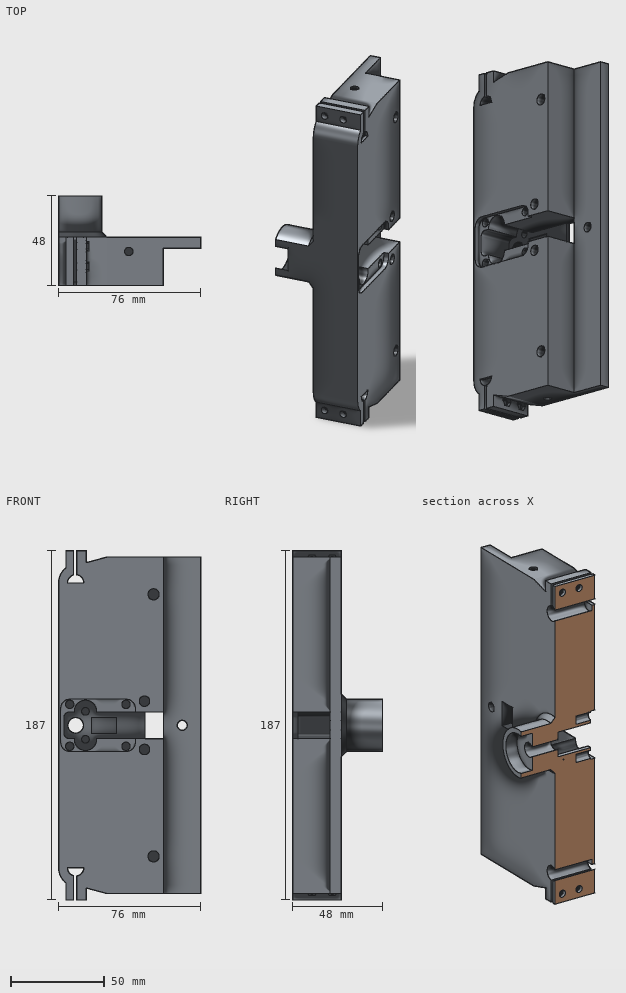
import cadquery as cq
import math


length = 187.0
width = 76.0
body_width = 56.0
body_depth = 26.0
flange_front = 20.0
shoulder_z = 90.1
slope_end_x = 26.0
slope_foot_z = 87.1

ear_left_x = 4.0
ear_right_x = 15.0
ear_foot_z = 84.3
slit_left_x = 8.0
slit_right_x = 9.7
clamp_bore_radius = 4.3
clamp_bore_z = 76.3
clamp_lip = 2.0
clamp_screw_radius = 1.9
clamp_screw_z = 88.5
clamp_screw_ys = (10.3, 21.1)
nut_corner_diameter = 6.2
nut_seat_x = 12.5
nut_pocket_end_x = 16.3

axis_x = 9.2
boss_radius = 14.0
boss_end_y = 48.0
boss_cone = 2.8
boss_bore_radius = 11.2
boss_bore_depth = 7.3
shaft_radius = 4.1

cover_left_x = 1.1
cover_right_x = 41.1
cover_half_height = 14.0
cover_corner = 5.0
cover_depth = 2.8
cover_screw_xs = (6.0, 36.0)
cover_screw_z = 11.2
cover_screw_radius = 2.2
cover_screw_depth = 9.3

slot_left_x = 2.8
slot_half_height = 7.1
slot_corner = 3.0
slot_floor_y = 24.0
window_left_x = 46.4
lobe_x = 14.4
lobe_z = 7.5
lobe_radius = 6.0
lobe_screw_radius = 2.0
lobe_screw_depth = 9.3
floor_pocket_left_x = 17.8
floor_pocket_right_x = 31.0
floor_pocket_height = 8.6
floor_pocket_depth = 1.0

inner_mount = (46.0, 12.9)
inner_mount_radius = 2.8
outer_mount = (50.8, 70.1)
outer_mount_radius = 3.0
mount_depth = 15.0
flange_hole_x = 66.2
flange_hole_radius = 2.6
end_hole_x = 37.5
end_hole_y = 18.3
end_hole_radius = 2.2

SIDES = (1, -1)


def front_plane(y=0.0):
    """Sketch plane at depth y: local x is X, local y is Z, normal along -Y."""
    return cq.Workplane("XZ", origin=(0, y, 0))


def block(x_range, y_range, z_range):
    (x0, x1), (y0, y1), (z0, z1) = x_range, y_range, z_range
    return cq.Workplane("XY").box(x1 - x0, y1 - y0, z1 - z0, centered=False).translate((x0, y0, z0))


def cylinder_y(x, z, radius, y_start, y_end):
    return front_plane(y_start).center(x, z).circle(radius).extrude(y_start - y_end)


def cylinder_x(y, z, radius, x_start, x_end):
    return cq.Workplane("YZ", origin=(x_start, y, z)).circle(radius).extrude(x_end - x_start)


def upper_half_body():
    """Body above Z = 0 with its clamp ear; the ear foot flows into the flat side by an arc."""
    arc_height = ear_foot_z - clamp_bore_z
    arc_radius = (ear_left_x**2 + arc_height**2) / (2 * ear_left_x)
    half_angle = math.asin(arc_height / arc_radius) / 2
    arc_middle = (
        arc_radius * (1 - math.cos(half_angle)),
        clamp_bore_z + arc_radius * math.sin(half_angle),
    )
    outline = (
        front_plane()
        .moveTo(0, 0)
        .lineTo(0, clamp_bore_z)
        .threePointArc(arc_middle, (ear_left_x, ear_foot_z))
        .lineTo(ear_left_x, length / 2)
        .lineTo(ear_right_x, length / 2)
        .lineTo(ear_right_x, slope_foot_z)
        .lineTo(slope_end_x, shoulder_z)
        .lineTo(width, shoulder_z)
        .lineTo(width, 0)
        .close()
    )
    half = outline.extrude(-body_depth)
    return half.cut(block((body_width, width), (0, flange_front), (0, shoulder_z)))


def clamp_cuts():
    """Slit, bore, and screw holes with nut pockets of the upper clamp."""
    bore = cylinder_y(axis_x, clamp_bore_z, clamp_bore_radius, 0, body_depth)
    lip = block((0, ear_right_x), (0, clamp_lip), (clamp_bore_z - clamp_bore_radius, clamp_bore_z))
    cuts = bore.cut(lip)
    cuts = cuts.union(block((slit_left_x, slit_right_x), (0, body_depth), (clamp_bore_z, length / 2)))
    for y in clamp_screw_ys:
        nut_pocket = (
            cq.Workplane("YZ", origin=(nut_seat_x, y, clamp_screw_z))
            .polygon(6, nut_corner_diameter)
            .extrude(nut_pocket_end_x - nut_seat_x)
        )
        cuts = cuts.union(cylinder_x(y, clamp_screw_z, clamp_screw_radius, 0, ear_right_x))
        cuts = cuts.union(nut_pocket)
    return cuts


def boss():
    """Boss with a conical foot, turned about the shaft axis, trimmed flush with the flat side."""
    profile = [
        (0, body_depth),
        (boss_radius + boss_cone, body_depth),
        (boss_radius, body_depth + boss_cone),
        (boss_radius, boss_end_y),
        (0, boss_end_y),
    ]
    turned = cq.Workplane("XY").polyline(profile).close().revolve(360, (0, 0, 0), (0, 1, 0))
    reach = boss_radius + boss_cone
    beyond_flat = block((-reach, 0), (0, boss_end_y), (-reach, reach))
    return turned.translate((axis_x, 0, 0)).cut(beyond_flat)


def cover_recess():
    return block(
        (cover_left_x, cover_right_x), (0, cover_depth), (-cover_half_height, cover_half_height)
    ).edges("|Y").fillet(cover_corner)


def drive_slot():
    """Slot open toward the flange, with two round lobes, a window and a floor pocket."""
    z_range = (-slot_half_height, slot_half_height)
    slot = block((slot_left_x, body_width), (0, slot_floor_y), z_range)
    slot = slot.edges("|Y and <X").fillet(slot_corner)
    slot = slot.union(block((window_left_x, body_width), (0, body_depth), z_range))
    for side in SIDES:
        slot = slot.union(cylinder_y(lobe_x, side * lobe_z, lobe_radius, 0, slot_floor_y))
    return slot.union(
        block(
            (floor_pocket_left_x, floor_pocket_right_x),
            (slot_floor_y, slot_floor_y + floor_pocket_depth),
            (-floor_pocket_height / 2, floor_pocket_height / 2),
        )
    )


def mirrored_holes():
    """Blind holes along Y that repeat above and below Z = 0: x, z, radius, start, depth."""
    holes = [
        (*inner_mount, inner_mount_radius, 0, mount_depth),
        (*outer_mount, outer_mount_radius, 0, mount_depth),
        (lobe_x, lobe_z, lobe_screw_radius, slot_floor_y, lobe_screw_depth),
    ]
    for x in cover_screw_xs:
        holes.append((x, cover_screw_z, cover_screw_radius, cover_depth, cover_screw_depth))
    return holes


upper = upper_half_body().cut(clamp_cuts())
upper = upper.cut(
    cq.Workplane("XY", origin=(end_hole_x, end_hole_y, shoulder_z))
    .circle(end_hole_radius)
    .extrude(-mount_depth)
)
result = upper.union(upper.mirror("XY")).union(boss())

result = result.cut(cover_recess()).cut(drive_slot())
result = result.cut(cylinder_y(axis_x, 0, shaft_radius, 0, boss_end_y))
result = result.cut(cylinder_y(axis_x, 0, boss_bore_radius, boss_end_y - boss_bore_depth, boss_end_y))

for hole_x, hole_z, radius, start, depth in mirrored_holes():
    for side in SIDES:
        result = result.cut(cylinder_y(hole_x, side * hole_z, radius, start, start + depth))
result = result.cut(cylinder_y(flange_hole_x, 0, flange_hole_radius, 0, body_depth))